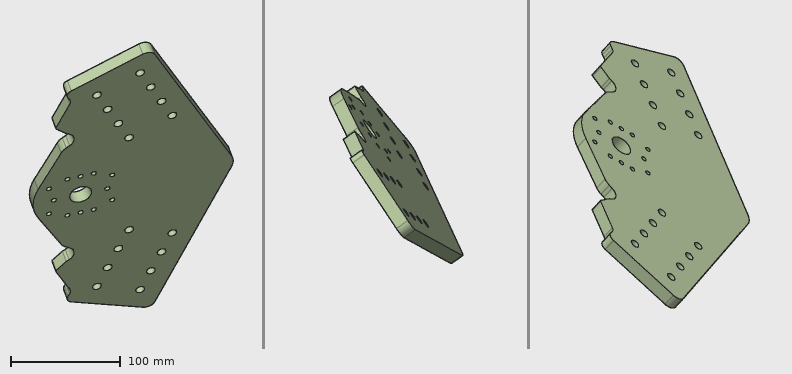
import cadquery as cq
import math

thickness = 13.0
half_height = 178.5
rear_reach = 144.5
hub_radius = 45.0

edge_tilt = math.radians(23.6)
rear_tip_radius = 18.0
end_corner_radius = 9.0
end_edge_length = 89.5

ear_radius = 6.5
ear_root = (9.0, 133.0)
prong_tip = (24.0, 100.0)
prong_tip_radius = 1.8
notch_mouth = (13.5, 89.5)
notch_apex = (-2.0, 80.5)
notch_radius = 9.5
shoulder = (16.8, 67.5)
shoulder_radius = 14.3

mount_diameter = 8.2
mount_count = 4
mount_pitch = 25.5
mount_row_spacing = 44.5
mount_end_margin = 22.5
mount_rear_margin = 21.5

bore_diameter = 20.7
small_diameter = 4.5
small_offset = 25.5
small_pitch = 12.5
outer_small_forward = 30.0
outer_small_up = 17.5

rear_direction = (-math.sin(edge_tilt), -math.cos(edge_tilt))
end_direction = (math.cos(edge_tilt), -math.sin(edge_tilt))

rear_tip = (-rear_reach - rear_tip_radius * (1 / math.cos(edge_tilt) - 1), 0.0)
end_corner_up = half_height + end_corner_radius * (math.cos(edge_tilt) + math.sin(edge_tilt) - 1)
end_corner = (rear_tip[0] + end_corner_up * math.tan(edge_tilt), end_corner_up)


def from_end_corner(along_end, along_rear):
    """Point measured from the upper end corner along its two edges."""
    return tuple(
        end_corner[i] + along_end * end_direction[i] + along_rear * rear_direction[i] for i in range(2)
    )


def hub_tangent_corner():
    """Where the flank tangents from both shoulders meet in front of the hub."""
    distance = math.hypot(*shoulder)
    normal_angle = math.atan2(shoulder[1], shoulder[0]) - math.acos(hub_radius / distance)
    return (hub_radius / math.cos(normal_angle), 0.0)


def mirrored(points):
    """Points together with their mirror images below Z = 0."""
    return points + [(forward, -up) for forward, up in points]


def rounded_corner(before, corner, after, radius):
    """Start, middle and end of the arc that rounds a corner."""
    point = cq.Vector(*corner)
    to_before = (cq.Vector(*before) - point).normalized()
    to_after = (cq.Vector(*after) - point).normalized()
    half_angle = to_before.getAngle(to_after) / 2
    setback = radius / math.tan(half_angle)
    middle_distance = radius / math.sin(half_angle) - radius
    middle = point + (to_before + to_after).normalized() * middle_distance
    start = point + to_before * setback
    end = point + to_after * setback
    return [(place.x, place.y) for place in (start, middle, end)]


def draw_outline(workplane, corners):
    """Closed outline through (point, radius) corners; radius 0 stays sharp."""
    outline = workplane
    for i, (corner, radius) in enumerate(corners):
        before = corners[i - 1][0]
        after = corners[(i + 1) % len(corners)][0]
        start, middle, end = rounded_corner(before, corner, after, radius)
        outline = outline.moveTo(*start) if i == 0 else outline.lineTo(*start)
        if radius > 0:
            outline = outline.threePointArc(middle, end)
    return outline.close()


upper_corners = [
    (end_corner, end_corner_radius),
    (from_end_corner(end_edge_length, 0), ear_radius),
    (ear_root, ear_radius),
    (prong_tip, prong_tip_radius),
    (notch_mouth, 0),
    (notch_apex, notch_radius),
    (shoulder, shoulder_radius),
]
lower_corners = [((forward, -up), radius) for (forward, up), radius in reversed(upper_corners)]
outline_corners = (
    [(rear_tip, rear_tip_radius)] + upper_corners + [(hub_tangent_corner(), hub_radius)] + lower_corners
)

mount_holes = mirrored([
    from_end_corner(mount_rear_margin + row * mount_row_spacing, mount_end_margin + i * mount_pitch)
    for row in range(2)
    for i in range(mount_count)
])
small_holes = mirrored(
    [(i * small_pitch, small_offset) for i in (-1, 0, 1)]
    + [(side * outer_small_forward, outer_small_up) for side in (-1, 1)]
) + [(side * small_offset, 0) for side in (-1, 1)]

profile_plane = cq.Plane(origin=(thickness / 2, 0, 0), xDir=(0, -1, 0), normal=(-1, 0, 0))


def hole_pins(points, diameter):
    """Cylinders through the plate at the given profile points."""
    return cq.Workplane(profile_plane).pushPoints(points).circle(diameter / 2).extrude(thickness)


plate = draw_outline(cq.Workplane(profile_plane), outline_corners).extrude(thickness)

result = (
    plate
    .cut(hole_pins(mount_holes, mount_diameter))
    .cut(hole_pins(small_holes, small_diameter))
    .cut(hole_pins([(0, 0)], bore_diameter))
)